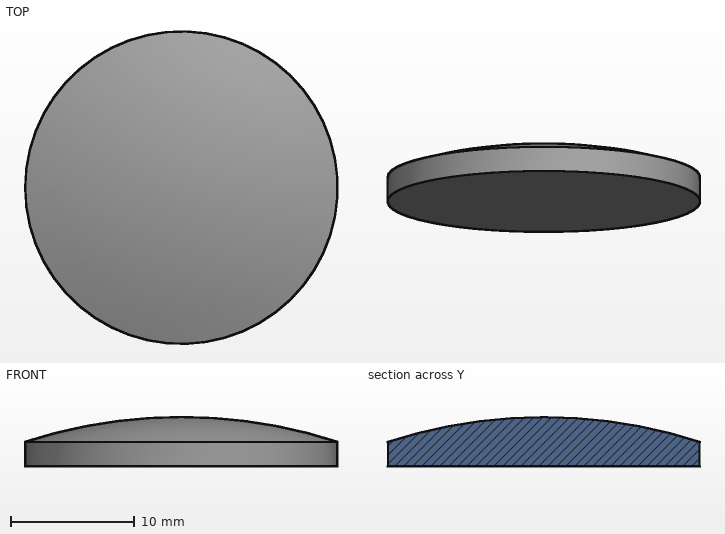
import cadquery as cq
import math

diameter = 25.4
rim_height = 2.0
overall_height = 4.02

radius = diameter / 2
dome_rise = overall_height - rim_height
sphere_radius = (radius**2 + dome_rise**2) / (2 * dome_rise)
sphere_center_z = overall_height - sphere_radius

mid_radius = radius / 2
mid_z = sphere_center_z + math.sqrt(sphere_radius**2 - mid_radius**2)


def half_profile():
    """Half section of the disc, from the axis out to the rim."""
    return (
        cq.Workplane("XZ")
        .lineTo(-radius, 0)
        .lineTo(-radius, rim_height)
        .threePointArc((-mid_radius, mid_z), (0, overall_height))
        .close()
    )


axis_start = (0, 0)
axis_end = (0, 1)
result = half_profile().revolve(360, axis_start, axis_end)